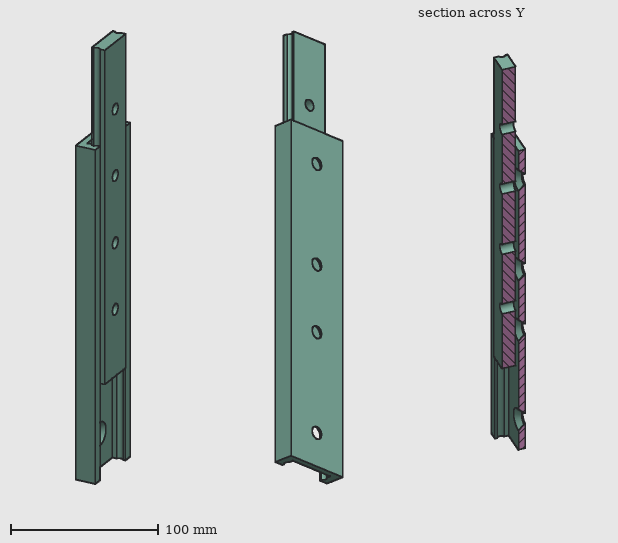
import cadquery as cq

overall_height = 321.0
travel = 71.0
member_length = overall_height - travel

channel_depth = 15.0
channel_width = 50.0
web_thickness = 5.0
mouth_width = 36.0

bar_back_x = 7.0
bar_front_x = 17.0
bar_thickness = bar_front_x - bar_back_x
bar_width = 30.2

track_diameter = 5.8
track_x = 11.0
track_y = (mouth_width + bar_width) / 4

channel_hole_diameter = 9.0
countersink_land = 1.0
countersink_mouth_diameter = channel_hole_diameter + 2 * (web_thickness - countersink_land)
channel_hole_end_distances = [25.0, 100.0]
bar_hole_diameter = 8.0
bar_hole_end_distances = [50.0, 100.0]


def box_along_z(back_x, thickness, width, bottom_z):
    """Member-length block centred on Y = 0."""
    return (
        cq.Workplane("XY", origin=(back_x, 0, bottom_z))
        .rect(thickness, width)
        .extrude(member_length)
        .translate((thickness / 2, 0, 0))
    )


def ball_tracks(bottom_z):
    """Two round cutters along the ball track axes."""
    return (
        cq.Workplane("XY", origin=(0, 0, bottom_z))
        .pushPoints([(track_x, -track_y), (track_x, track_y)])
        .circle(track_diameter / 2)
        .extrude(member_length)
    )


def hole_centres(end_distances, bottom_z):
    """(Y, Z) hole positions mirrored about the middle of a member."""
    heights = end_distances + [member_length - distance for distance in end_distances]
    return [(0, bottom_z + height) for height in heights]


def mounting_holes(diameter, end_distances, bottom_z):
    """Round cutters along X."""
    return (
        cq.Workplane("YZ")
        .pushPoints(hole_centres(end_distances, bottom_z))
        .circle(diameter / 2)
        .extrude(bar_front_x)
    )


def countersinks(bottom_z):
    """Conical cutters that widen each channel hole toward the inside of the web."""
    cone = cq.Solid.makeCone(
        channel_hole_diameter / 2,
        countersink_mouth_diameter / 2,
        web_thickness - countersink_land,
        pnt=cq.Vector(countersink_land, 0, 0),
        dir=cq.Vector(1, 0, 0),
    )
    cutters = cq.Workplane("XY")
    for y, z in hole_centres(channel_hole_end_distances, bottom_z):
        cutters = cutters.add(cone.translate(cq.Vector(0, y, z)))
    return cutters.combine()


def make_channel():
    bottom_z = 0
    outer = box_along_z(0, channel_depth, channel_width, bottom_z)
    mouth = box_along_z(web_thickness, channel_depth - web_thickness, mouth_width, bottom_z)
    holes = mounting_holes(channel_hole_diameter, channel_hole_end_distances, bottom_z)
    return outer.cut(mouth).cut(ball_tracks(bottom_z)).cut(holes).cut(countersinks(bottom_z))


def make_bar():
    bottom_z = travel
    bar = box_along_z(bar_back_x, bar_thickness, bar_width, bottom_z)
    holes = mounting_holes(bar_hole_diameter, bar_hole_end_distances, bottom_z)
    return bar.cut(ball_tracks(bottom_z)).cut(holes)


channel = make_channel()
bar = make_bar()
result = cq.Compound.makeCompound([channel.val(), bar.val()])